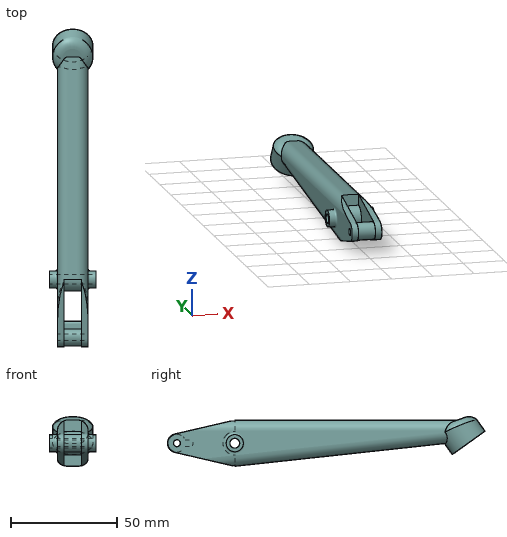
import cadquery as cq
import math

arm_width = 14.5
arm_half_depth = 10.9
edge_round = 5.1
pivot_y = 27.2
arm_end_y = 131.8
arm_end_bottom_z = 0.5
tip_radius = 4.5
spacer_radius = 4.2
tip_hole_diameter = 3.1

pin_span = 22.0
pin_diameter = 8.0
pin_hole_diameter = 4.5
pin_root_fillet = 0.9

slot_width = 8.2
slot_boss_radius = 5.5
rib_end_y = 7.6
rib_nose_radius = 1.5

head_diameter = 19.0
head_tilt = 35.5
head_base_y = 137.1
head_base_z = 0.1
head_blank_height = 20.9

dome_tilt = 20.0
dome_rim_y = 137.2
dome_rim_z = 7.2
dome_rim_round = 5.4
dome_flat_radius = 4.8
dome_skirt_flare = 15.0
dome_skirt_depth = 20.9


def extrude_across(outline, width):
    """Extrude a YZ outline symmetrically about X = 0."""
    return outline.extrude(width / 2, both=True)


def cylinder_across(diameter, width, y=0.0):
    """Cylinder along X, centred on X = 0 at height Z = 0."""
    return extrude_across(cq.Workplane("YZ").center(y, 0).circle(diameter / 2), width)


def make_rounded_beam():
    """Tapering beam with rounded long edges, before the fork end is shaped."""
    bottom_slope = (arm_end_bottom_z + arm_half_depth) / (arm_end_y - pivot_y)
    front_bottom_z = -arm_half_depth - bottom_slope * (pivot_y + tip_radius)
    outline = cq.Workplane("YZ").polyline(
        [
            (-tip_radius, front_bottom_z),
            (arm_end_y, arm_end_bottom_z),
            (arm_end_y, arm_half_depth),
            (-tip_radius, arm_half_depth),
        ]
    ).close()
    beam = extrude_across(outline, arm_width)
    return beam.edges("(not |X) and (not |Z)").fillet(edge_round)


def make_fork_envelope():
    """Side outline whose two tapers run tangent into the round tip."""
    corner_distance = math.hypot(pivot_y, arm_half_depth)
    tangent_angle = math.atan2(arm_half_depth, pivot_y) + math.acos(tip_radius / corner_distance)
    tangent_y = tip_radius * math.cos(tangent_angle)
    tangent_z = tip_radius * math.sin(tangent_angle)
    outline = (
        cq.Workplane("YZ")
        .moveTo(pivot_y, -arm_half_depth)
        .lineTo(arm_end_y, -arm_half_depth)
        .lineTo(arm_end_y, arm_half_depth)
        .lineTo(pivot_y, arm_half_depth)
        .lineTo(tangent_y, tangent_z)
        .threePointArc((-tip_radius, 0), (tangent_y, -tangent_z))
        .close()
    )
    return extrude_across(outline, arm_width)


def make_slot():
    """Open space between the fork lugs, around the pivot boss and tip spacer."""
    slot_length = pivot_y + tip_radius
    slot = cq.Workplane("XY").box(slot_width, slot_length, 2 * arm_half_depth).translate(
        (0, pivot_y - slot_length / 2, 0)
    )
    rib_length = rib_end_y - rib_nose_radius
    rib = extrude_across(
        cq.Workplane("YZ").center(rib_length / 2, 0).rect(rib_length, 2 * rib_nose_radius), slot_width
    )
    rib_nose = cylinder_across(2 * rib_nose_radius, slot_width, rib_length)
    spacer = cylinder_across(2 * spacer_radius, slot_width).union(rib).union(rib_nose)
    pivot_boss = cylinder_across(2 * slot_boss_radius, slot_width, pivot_y)
    return slot.cut(spacer).cut(pivot_boss)


def make_pins():
    """Both pivot pins, each a revolved shape flared where it leaves the arm."""
    side_x = arm_width / 2
    pin_radius = pin_diameter / 2
    flare_radius = pin_radius + pin_root_fillet
    flare_end_x = side_x + pin_root_fillet
    arc_inset = pin_root_fillet * (1 - math.sqrt(0.5))
    inner_x = slot_width / 2
    pin = (
        cq.Workplane("XY")
        .moveTo(inner_x, 0)
        .lineTo(pin_span / 2, 0)
        .lineTo(pin_span / 2, pin_radius)
        .lineTo(flare_end_x, pin_radius)
        .threePointArc((side_x + arc_inset, pin_radius + arc_inset), (side_x, flare_radius))
        .lineTo(inner_x, flare_radius)
        .close()
        .revolve(360, (0, 0, 0), (1, 0, 0))
        .translate((0, pivot_y, 0))
    )
    return pin.union(pin.mirror("YZ"))


def make_dome():
    """Revolved cap, tilted so its rim round centre sits at the given rim point."""
    flare = math.radians(dome_skirt_flare)
    arc_middle = (math.pi / 2 + flare) / 2
    skirt_radius = dome_flat_radius + dome_rim_round * math.cos(flare)
    skirt_top = dome_rim_round * math.sin(flare)
    skirt_bottom_radius = skirt_radius + dome_skirt_depth * math.tan(flare)
    skirt_bottom = skirt_top - dome_skirt_depth
    dome = (
        cq.Workplane("XZ")
        .moveTo(0, skirt_bottom)
        .lineTo(skirt_bottom_radius, skirt_bottom)
        .lineTo(skirt_radius, skirt_top)
        .threePointArc(
            (
                dome_flat_radius + dome_rim_round * math.cos(arc_middle),
                dome_rim_round * math.sin(arc_middle),
            ),
            (dome_flat_radius, dome_rim_round),
        )
        .lineTo(0, dome_rim_round)
        .close()
        .revolve(360, (0, 0, 0), (0, 1, 0))
    )
    dome = dome.translate((0, -dome_flat_radius, 0)).rotate((0, 0, 0), (1, 0, 0), dome_tilt)
    return dome.translate((0, dome_rim_y, dome_rim_z))


def make_head():
    """Cylinder leaning toward the fork, trimmed to the dome."""
    blank = cq.Workplane("XY").circle(head_diameter / 2).extrude(head_blank_height)
    blank = blank.rotate((0, 0, 0), (1, 0, 0), head_tilt).translate((0, head_base_y, head_base_z))
    return blank.intersect(make_dome())


arm = make_rounded_beam().intersect(make_fork_envelope()).cut(make_slot())
result = arm.union(make_pins()).union(make_head())
result = result.cut(cylinder_across(tip_hole_diameter, pin_span))
result = result.cut(cylinder_across(pin_hole_diameter, pin_span, pivot_y))